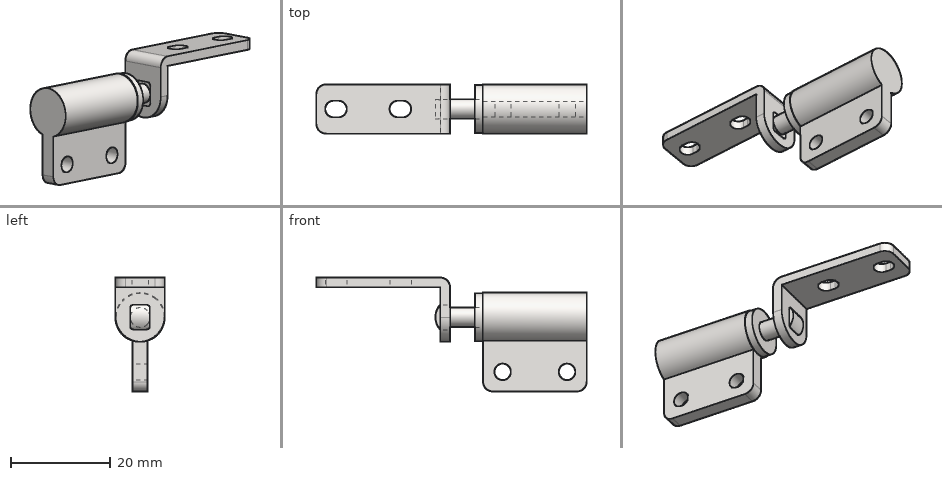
import cadquery as cq


length = 54.5
width = 10.0
corner_radius = 2.0
hole_size = 3.25
hole_pitch = 12.95

sheet = 2.0
bracket_top = 8.0
bracket_end = 27.0
leg_inner_x = bracket_end - sheet
first_slot_x = 4.0
slot_length = 4.3

barrel_start = 33.55
barrel_length = length - barrel_start
leaf_thickness = 3.05
leaf_bottom = -15.0
leaf_hole_z = -11.0

cap_thickness = 1.65
cap_diameter = 9.7
cap_start = barrel_start - cap_thickness

shaft_diameter = 4.0
tang_height = 4.95
tang_corner = 0.65
tip_x = 24.0


def rod(diameter, start_x, rod_length):
    """Cylinder along the pin axis."""
    return cq.Workplane("YZ").workplane(offset=start_x).circle(diameter / 2).extrude(rod_length)


def make_tang():
    """Rectangular pin end, domed about the Y direction and rounded along X."""
    half_height = tang_height / 2
    profile = (
        cq.Workplane("XZ")
        .moveTo(bracket_end, -half_height)
        .lineTo(leg_inner_x, -half_height)
        .threePointArc((tip_x, 0), (leg_inner_x, half_height))
        .lineTo(bracket_end, half_height)
        .close()
        .extrude(shaft_diameter / 2, both=True)
    )
    rounded_bar = (
        cq.Workplane("YZ")
        .workplane(offset=tip_x)
        .rect(shaft_diameter, tang_height)
        .extrude(bracket_end - tip_x)
        .edges("|X")
        .fillet(tang_corner)
    )
    return profile.intersect(rounded_bar)


def make_pin():
    """Tang through the bracket, shaft through the end cap."""
    shaft = rod(shaft_diameter, bracket_end, barrel_start - bracket_end)
    return make_tang().union(shaft)


def make_bracket():
    """Bent strip with two slots and a round-ended leg carrying the pin tang."""
    plate = (
        cq.Workplane("XY")
        .workplane(offset=bracket_top - sheet)
        .center(bracket_end / 2, 0)
        .rect(bracket_end, width)
        .extrude(sheet)
        .edges("|Z and <X")
        .fillet(corner_radius)
    )
    leg = (
        cq.Workplane("YZ")
        .workplane(offset=leg_inner_x)
        .moveTo(-width / 2, bracket_top)
        .lineTo(-width / 2, 0)
        .threePointArc((0, -width / 2), (width / 2, 0))
        .lineTo(width / 2, bracket_top)
        .close()
        .extrude(sheet)
    )
    bent_strip = plate.union(leg).edges("|Y and >X and >Z").fillet(sheet)
    slots = (
        cq.Workplane("XY")
        .workplane(offset=bracket_top - sheet)
        .pushPoints([(first_slot_x, 0), (first_slot_x + hole_pitch, 0)])
        .slot2D(slot_length, hole_size)
        .extrude(sheet)
    )
    return bent_strip.cut(slots).cut(make_tang())


def make_cap():
    """Ring closing the barrel around the shaft."""
    return rod(cap_diameter, cap_start, cap_thickness).cut(rod(shaft_diameter, cap_start, cap_thickness))


def make_barrel():
    """Cylinder with a flat leaf below it and two mounting holes."""
    middle_x = barrel_start + barrel_length / 2
    leaf = (
        cq.Workplane("XZ")
        .center(middle_x, leaf_bottom / 2)
        .rect(barrel_length, -leaf_bottom)
        .extrude(leaf_thickness / 2, both=True)
        .edges("|Y and <Z")
        .fillet(corner_radius)
    )
    holes = (
        cq.Workplane("XZ")
        .center(middle_x, leaf_hole_z)
        .pushPoints([(-hole_pitch / 2, 0), (hole_pitch / 2, 0)])
        .circle(hole_size / 2)
        .extrude(leaf_thickness, both=True)
    )
    return rod(width, barrel_start, barrel_length).union(leaf).cut(holes)


bracket = make_bracket()
pin = make_pin()
cap = make_cap()
barrel = make_barrel()

result = cq.Compound.makeCompound([bracket.val(), pin.val(), cap.val(), barrel.val()])